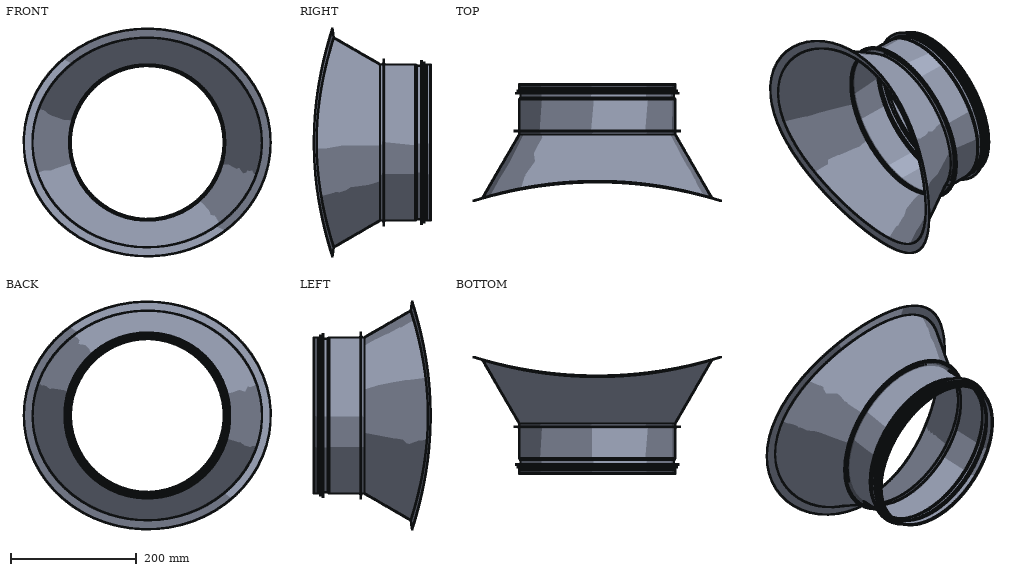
import cadquery as cq
import math


wall = 0.6
tube_d = 249.0
neck_d = 245.0
tube_r = tube_d / 2
neck_r = neck_d / 2

seam_rim_r = 264.5 / 2
seam_flange_r = 259.0 / 2
seam_bend_r = 1.38
bend_outer_r = seam_bend_r + wall
bend_x = tube_r + seam_bend_r
bend_y = bend_outer_r

spigot_length = 75.0
shoulder_start = 50.0
shoulder_end = 53.0
mouth_r = 243.0 / 2
mouth_start = 63.7
hem_length = 6.0
hem_bend_r = (tube_r - mouth_r) / 2
hem_y = spigot_length - hem_bend_r
hem_gap_r = (tube_r - wall - neck_r) / 2

gasket_r = tube_r - wall
gasket_end = 59.5
small_lip_r = 254.0 / 2
small_lip_root = 67
small_lip_y = 64.0
small_lip_thickness = 0.8
large_lip_r = 259.3 / 2
large_lip_thickness = 1.5
large_lip_root = 61.8

collar_length = 5.5
cone_slope = math.tan(math.radians(30))
saddle_height = 79.0
duct_r = 625.0
duct_axis_y = -saddle_height - duct_r

rim_half_x = 393.5 / 2
rim_half_z = 362.8 / 2
rim_arch_r = 669
rim_tip_y = spigot_length - 186.5 + wall
rim_arch_y = rim_tip_y - math.sqrt(rim_arch_r**2 - rim_half_x**2)

curve_points = 48


def revolve_y(profile):
    """Full turn of an XY profile about the Y axis."""
    return profile.close().revolve(360, (0, 0, 0), (0, 1, 0))


def closed_curve(point_at):
    """Smooth closed edge through the points of a formula in the angle about Y."""
    angles = [2 * math.pi * i / curve_points for i in range(curve_points)]
    points = [cq.Vector(*point_at(a)) for a in angles]
    return cq.Edge.makeSpline(points, periodic=True, parameters=[*angles, 2 * math.pi])


def circle_at(radius, y):
    """Circle about the Y axis, running the same way as the closed curves."""
    plane = cq.Plane(origin=(0, y, 0), xDir=(1, 0, 0), normal=(0, -1, 0))
    return cq.Workplane(plane).circle(radius).val().Edges()[0]


def cone_on_duct(collar_r, saddle_r):
    """Curve where a cone that starts at the collar meets a duct of radius saddle_r."""

    def point_at(angle):
        run_x = math.cos(angle)
        above_axis = -collar_length - duct_axis_y
        a = 1 + (cone_slope * run_x) ** 2
        b = collar_r * cone_slope * run_x**2 - above_axis
        c = (collar_r * run_x) ** 2 + above_axis**2 - saddle_r**2
        drop = (-b - math.sqrt(b**2 - a * c)) / a
        radius = collar_r + cone_slope * drop
        return (radius * run_x, -collar_length - drop, radius * math.sin(angle))

    return closed_curve(point_at)


def saddle_rim(drop):
    """Outer edge of the saddle flange, lowered by drop."""

    def point_at(angle):
        x = rim_half_x * math.cos(angle)
        y = rim_arch_y + math.sqrt(rim_arch_r**2 - x**2) - drop
        return (x, y, rim_half_z * math.sin(angle))

    return closed_curve(point_at)


def bend_middle(radius, side):
    """Middle of a quarter-round seam bend, on the +Y (1) or -Y (-1) side of the seam."""
    offset = radius * math.sqrt(0.5)
    return (bend_x - offset, side * (bend_y - offset))


def make_saddle():
    edges = [
        circle_at(tube_r, -collar_length),
        cone_on_duct(tube_r, duct_r),
        saddle_rim(0),
        saddle_rim(wall),
        cone_on_duct(tube_r - wall, duct_r - wall),
        circle_at(tube_r - wall, -collar_length),
    ]
    faces = [cq.Face.makeRuledSurface(edges[i - 1], edges[i]) for i in range(len(edges))]
    skirt = cq.Solid.makeSolid(cq.Shell.makeShell(faces)).fix()

    collar = revolve_y(
        cq.Workplane("XY")
        .moveTo(tube_r - wall, -collar_length)
        .lineTo(tube_r - wall, -bend_y)
        .threePointArc(bend_middle(bend_outer_r, -1), (bend_x, 0))
        .lineTo(seam_flange_r, 0)
        .lineTo(seam_flange_r, -wall)
        .lineTo(bend_x, -wall)
        .threePointArc(bend_middle(seam_bend_r, -1), (tube_r, -bend_y))
        .lineTo(tube_r, -collar_length)
    )
    return collar.union(cq.Workplane(skirt)).solids()


def make_spigot():
    """Sheet tube: bent out at the seam, necked for the gasket, hemmed back at the end."""
    hem_x = tube_r - hem_bend_r
    hem_end = spigot_length - hem_length
    return revolve_y(
        cq.Workplane("XY")
        .moveTo(seam_flange_r, -wall)
        .lineTo(seam_flange_r, 0)
        .lineTo(bend_x, 0)
        .threePointArc(bend_middle(bend_outer_r, 1), (tube_r - wall, bend_y))
        .lineTo(tube_r - wall, shoulder_start)
        .lineTo(neck_r - wall, shoulder_end)
        .lineTo(neck_r - wall, mouth_start)
        .lineTo(mouth_r, mouth_start)
        .lineTo(mouth_r, hem_y)
        .threePointArc((hem_x, spigot_length), (tube_r, hem_y))
        .lineTo(tube_r, hem_end)
        .lineTo(tube_r - wall, hem_end)
        .lineTo(tube_r - wall, hem_y)
        .threePointArc((neck_r + hem_gap_r, hem_y + hem_gap_r), (neck_r, hem_y))
        .lineTo(neck_r, shoulder_end)
        .lineTo(tube_r, shoulder_start)
        .lineTo(tube_r, bend_y)
        .threePointArc(bend_middle(seam_bend_r, 1), (bend_x, wall))
        .lineTo(seam_rim_r, wall)
        .lineTo(seam_rim_r, -wall)
    )


def make_gasket():
    """Strip around the neck, held by the hem, with a small and a large sealing lip."""
    return revolve_y(
        cq.Workplane("XY")
        .moveTo(neck_r, gasket_end)
        .lineTo(large_lip_r, gasket_end)
        .lineTo(large_lip_r, gasket_end + large_lip_thickness)
        .lineTo(tube_r, gasket_end + large_lip_thickness)
        .lineTo(tube_r, large_lip_root)
        .lineTo(gasket_r, large_lip_root)
        .lineTo(gasket_r, small_lip_y)
        .lineTo(small_lip_r, small_lip_y)
        .lineTo(small_lip_r, small_lip_y + small_lip_thickness)
        .lineTo(tube_r, small_lip_y + small_lip_thickness)
        .lineTo(tube_r, small_lip_root)
        .lineTo(gasket_r, small_lip_root)
        .lineTo(gasket_r, hem_y)
        .lineTo(neck_r, hem_y)
    )


saddle = make_saddle()
spigot = make_spigot()
gasket = make_gasket()

result = cq.Compound.makeCompound([saddle.val(), spigot.val(), gasket.val()])